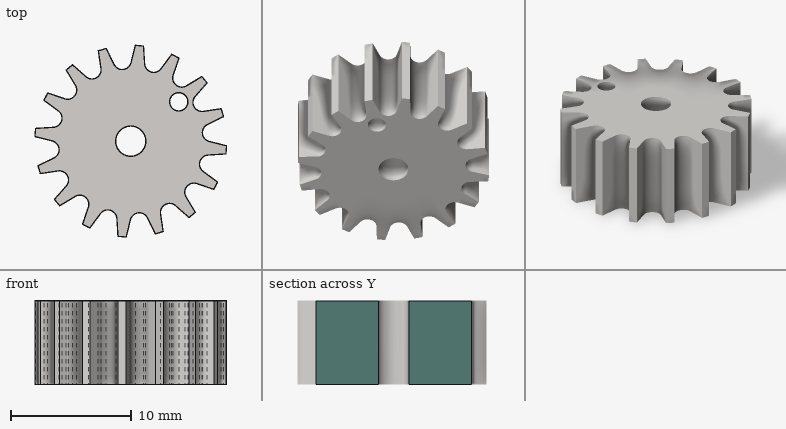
import cadquery as cq
import math

tooth_count = 16
thickness = 7.0
overall_size = 15.98
tooth_tilt = -5.2
tip_half_angle = 2.5

root_radius = 6.01
gap_radius = 0.75

bore_diameter = 2.5
pin_diameter = 1.5
pin_center = (4.0, 3.28)

tooth_pitch = 360 / tooth_count

tip_corner_radius = overall_size / 2 / math.cos(math.radians(abs(tooth_tilt) - tip_half_angle))


def polar(radius, degrees):
    angle = math.radians(degrees)
    return (radius * math.cos(angle), radius * math.sin(angle))


def gap_profile():
    """Corner, flank end and bottom of a gap centred on +X, for its +Y half."""
    corner = polar(tip_corner_radius, tooth_pitch / 2 - tip_half_angle)
    gap_center = root_radius + gap_radius

    dx = corner[0] - gap_center
    dy = corner[1]
    corner_direction = math.atan2(dy, dx)
    tangent_direction = corner_direction + math.acos(gap_radius / math.hypot(dx, dy))
    flank_end = (
        gap_center + gap_radius * math.cos(tangent_direction),
        gap_radius * math.sin(tangent_direction),
    )
    return corner, flank_end, (root_radius, 0)


def turned(point, degrees):
    """The point rotated about the gear axis."""
    radius = math.hypot(*point)
    return polar(radius, math.degrees(math.atan2(point[1], point[0])) + degrees)


def mirrored(point):
    """The point reflected across the X axis."""
    return (point[0], -point[1])


def gear_blank():
    corner, flank_end, bottom = gap_profile()
    first_gap = tooth_tilt + tooth_pitch / 2
    start = turned(mirrored(corner), first_gap)
    outline = cq.Workplane("XY").moveTo(*start)
    for i in range(tooth_count):
        gap_angle = first_gap + i * tooth_pitch
        outline = (
            outline.lineTo(*turned(mirrored(flank_end), gap_angle))
            .threePointArc(turned(bottom, gap_angle), turned(flank_end, gap_angle))
            .lineTo(*turned(corner, gap_angle))
        )
        if i < tooth_count - 1:
            outline = outline.lineTo(*turned(mirrored(corner), gap_angle + tooth_pitch))
    return outline.close().extrude(thickness)


def through_hole(center, diameter):
    return cq.Workplane("XY").center(*center).circle(diameter / 2).extrude(thickness)


result = (
    gear_blank()
    .cut(through_hole((0, 0), bore_diameter))
    .cut(through_hole(pin_center, pin_diameter))
)